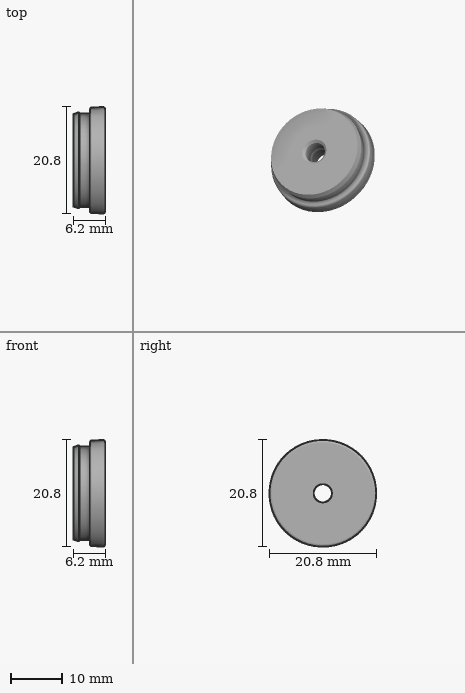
import cadquery as cq
import math

TOTAL_LENGTH = 6.2

PLUG_LENGTH = 3.2
NECK_RADIUS = 9.17
FRONT_RADIUS = 8.99
BEAD_RADIUS = 9.35
BEAD_PEAK_X = 1.0
BEAD_END_X = 1.19
PLUG_BORE_RADIUS = 2.0
COUNTERSINK_RADIUS = 2.5
COUNTERSINK_DEPTH = COUNTERSINK_RADIUS - PLUG_BORE_RADIUS

FLANGE_RADIUS = 10.4
FLANGE_DRAFT = math.radians(3)
FRONT_FILLET = 0.42
REAR_FILLET = 0.56
FLANGE_BORE_RADIUS = 1.75
MOUTH_ANGLE = math.radians(45)
MOUTH_ARC_RADIUS = (PLUG_BORE_RADIUS - FLANGE_BORE_RADIUS) / (1 - math.cos(MOUTH_ANGLE))
MOUTH_END_X = PLUG_LENGTH + MOUTH_ARC_RADIUS * math.sin(MOUTH_ANGLE)


def revolve_about_x(profile):
    """Revolve a closed profile, drawn in XY with Y as the radius, about X."""
    return profile.revolve(360, (0, 0, 0), (1, 0, 0))


def make_plug():
    profile = cq.Workplane("XY").polyline([
        (0, COUNTERSINK_RADIUS),
        (0, FRONT_RADIUS),
        (BEAD_PEAK_X, BEAD_RADIUS),
        (BEAD_END_X, NECK_RADIUS),
        (PLUG_LENGTH, NECK_RADIUS),
        (PLUG_LENGTH, PLUG_BORE_RADIUS),
        (COUNTERSINK_DEPTH, PLUG_BORE_RADIUS),
    ]).close()
    return revolve_about_x(profile)


def drafted_radius(x):
    """Radius of the flange's conical side at x, placed so the rear fillet's crest is FLANGE_RADIUS."""
    fillet_center_x = TOTAL_LENGTH - REAR_FILLET
    fillet_center_radius = FLANGE_RADIUS - REAR_FILLET
    radius_at_center = fillet_center_radius + REAR_FILLET / math.cos(FLANGE_DRAFT)
    return radius_at_center + (x - fillet_center_x) * math.tan(FLANGE_DRAFT)


def mouth_arc_point(angle):
    """Point on the bore mouth's arc, at the given angle before its tangent end."""
    x = MOUTH_END_X - MOUTH_ARC_RADIUS * math.sin(angle)
    radius = FLANGE_BORE_RADIUS + MOUTH_ARC_RADIUS * (1 - math.cos(angle))
    return (x, radius)


def make_flange():
    profile = (
        cq.Workplane("XY")
        .moveTo(PLUG_LENGTH, PLUG_BORE_RADIUS)
        .lineTo(PLUG_LENGTH, drafted_radius(PLUG_LENGTH))
        .lineTo(TOTAL_LENGTH, drafted_radius(TOTAL_LENGTH))
        .lineTo(TOTAL_LENGTH, FLANGE_BORE_RADIUS)
        .lineTo(MOUTH_END_X, FLANGE_BORE_RADIUS)
        .threePointArc(mouth_arc_point(MOUTH_ANGLE / 2), mouth_arc_point(MOUTH_ANGLE))
        .close()
    )
    flange = revolve_about_x(profile)
    outer_edge = cq.selectors.RadiusNthSelector(-1)
    flange = flange.faces(">X").edges(outer_edge).fillet(REAR_FILLET)
    return flange.faces("<X").edges(outer_edge).fillet(FRONT_FILLET)


plug = make_plug()
flange = make_flange()
result = cq.Compound.makeCompound([plug.val(), flange.val()])